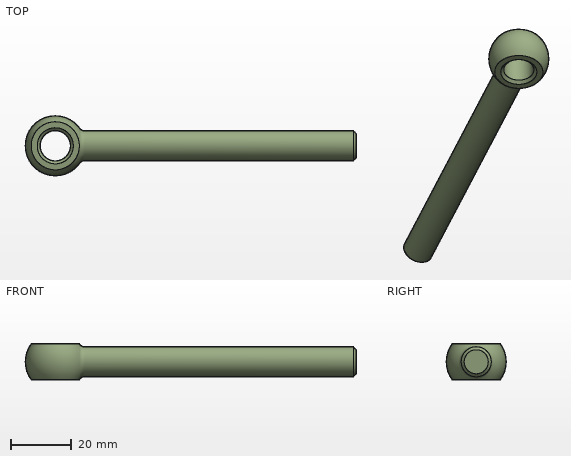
import cadquery as cq
import math

ball_diameter = 20.0
eye_width = 12.0
hole_diameter = 10.0
hole_chamfer = 1.0
shank_diameter = 10.0
shank_reach = 100.0
neck_fillet = 2.0
tip_chamfer = 1.0

ball_radius = ball_diameter / 2
shank_radius = shank_diameter / 2
tip_radius = shank_radius - tip_chamfer


def make_shank():
    """Concave neck and chamfered shank revolved about X, rooted in the ball centre."""
    arc_centre_r = shank_radius + neck_fillet
    arc_centre_x = math.sqrt((ball_radius + neck_fillet) ** 2 - arc_centre_r ** 2)
    touch_ratio = ball_radius / (ball_radius + neck_fillet)
    ball_touch = (arc_centre_x * touch_ratio, arc_centre_r * touch_ratio)

    profile = (
        cq.Workplane("XY")
        .lineTo(*ball_touch)
        .radiusArc((arc_centre_x, shank_radius), -neck_fillet)
        .lineTo(shank_reach - tip_chamfer, shank_radius)
        .lineTo(shank_reach, tip_radius)
        .lineTo(shank_reach, 0)
        .close()
    )
    return profile.revolve(360, (0, 0, 0), (1, 0, 0))


def flatten_eye(body):
    """Keep only the material between the two flat faces of the eye."""
    slab_length = ball_radius + shank_reach
    slab = (
        cq.Workplane("XY")
        .box(slab_length, ball_diameter, eye_width)
        .translate((slab_length / 2 - ball_radius, 0, 0))
    )
    return body.intersect(slab)


def make_hole_cutter():
    """Through hole along Z with a chamfer at each flat face."""
    hole_radius = hole_diameter / 2
    mouth_radius = hole_radius + hole_chamfer
    half_width = eye_width / 2
    profile = (
        cq.Workplane("XZ")
        .moveTo(0, -half_width)
        .lineTo(mouth_radius, -half_width)
        .lineTo(hole_radius, -half_width + hole_chamfer)
        .lineTo(hole_radius, half_width - hole_chamfer)
        .lineTo(mouth_radius, half_width)
        .lineTo(0, half_width)
        .close()
    )
    return profile.revolve(360, (0, 0, 0), (0, 1, 0))


ball = cq.Workplane("XY").sphere(ball_radius)
result = flatten_eye(ball.union(make_shank())).cut(make_hole_cutter())